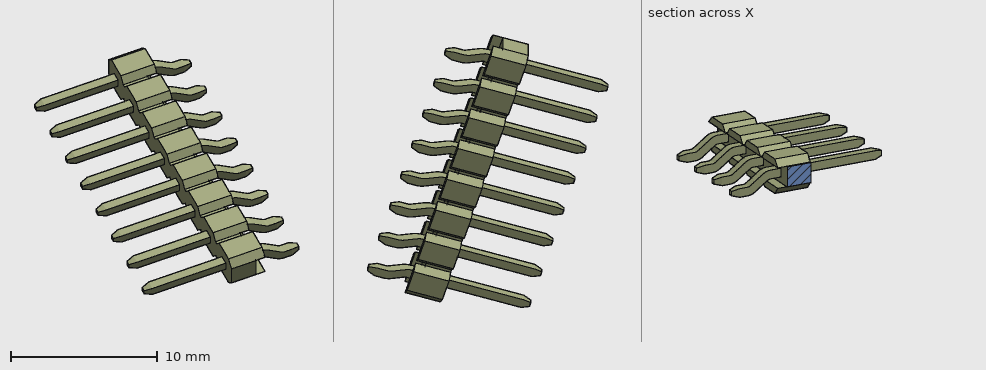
import cadquery as cq
import math

pin_count = 8
pitch = 2.55
row_length = pin_count * pitch

body_height = 2.5
body_depth = 2.5
body_front_y = 0.25
corner_cut = 0.5
notch_floor_width = 0.2
channel_depth = 0.7

pin_size = pitch / 4
pin_tip_size = 0.33
pin_length = 11.5
taper_length = 0.55
bend_start_y = 2.87
bend_angle = math.radians(35)
bend_inner_radius = 0.33

body_back_y = body_front_y + body_depth
half_height = body_height / 2
notch_z = half_height - corner_cut
pin_front_y = -pin_length / 2
pin_back_y = pin_length / 2
tail_z = pin_size / 2 - half_height


def make_body():
    """Octagonal cells joined by narrow webs, with a channel along the rear."""
    top_edge = [(-row_length / 2, notch_z)]
    for i in range(pin_count):
        left = i * pitch - row_length / 2
        right = left + pitch
        if i > 0:
            top_edge.append((left + notch_floor_width / 2, notch_z))
        top_edge.append((left + corner_cut, half_height))
        top_edge.append((right - corner_cut, half_height))
        if i < pin_count - 1:
            top_edge.append((right - notch_floor_width / 2, notch_z))
    top_edge.append((row_length / 2, notch_z))
    bottom_edge = [(x, -z) for x, z in reversed(top_edge)]

    body = (
        cq.Workplane("XZ", origin=(0, body_back_y, 0))
        .polyline(top_edge + bottom_edge)
        .close()
        .extrude(body_depth)
    )
    channel = (
        cq.Workplane("XY")
        .box(row_length, channel_depth, 2 * notch_z)
        .translate((0, body_back_y - channel_depth / 2, 0))
    )
    return body.cut(channel)


def make_tip(base_y, tip_y, z):
    """Square taper from the full pin section to the small end face."""
    return (
        cq.Workplane("XZ", origin=(0, base_y, z))
        .rect(pin_size, pin_size)
        .workplane(offset=base_y - tip_y)
        .rect(pin_tip_size, pin_tip_size)
        .loft(ruled=True)
    )


def make_pin():
    """Straight pin whose tail steps down through two equal bends."""
    mid_radius = bend_inner_radius + pin_size / 2
    bend_run = mid_radius * math.sin(bend_angle)
    bend_drop = mid_radius * (1 - math.cos(bend_angle))
    half_run = mid_radius * math.sin(bend_angle / 2)
    half_drop = mid_radius * (1 - math.cos(bend_angle / 2))
    slope_drop = -tail_z - 2 * bend_drop
    slope_run = slope_drop / math.tan(bend_angle)
    bend_end_y = bend_start_y + 2 * bend_run + slope_run
    straight_start_y = pin_front_y + taper_length
    tail_end_y = pin_back_y - taper_length

    path = (
        cq.Workplane("YZ")
        .moveTo(straight_start_y, 0)
        .lineTo(bend_start_y, 0)
        .threePointArc(
            (bend_start_y + half_run, -half_drop),
            (bend_start_y + bend_run, -bend_drop),
        )
        .lineTo(bend_end_y - bend_run, tail_z + bend_drop)
        .threePointArc(
            (bend_end_y - half_run, tail_z + half_drop),
            (bend_end_y, tail_z),
        )
        .lineTo(tail_end_y, tail_z)
    )
    shaft = (
        cq.Workplane("XZ", origin=(0, straight_start_y, 0))
        .rect(pin_size, pin_size)
        .sweep(path)
    )
    front_tip = make_tip(straight_start_y, pin_front_y, 0)
    tail_tip = make_tip(tail_end_y, pin_back_y, tail_z)
    return shaft.union(front_tip).union(tail_tip)


result = make_body()
pin = make_pin()
for i in range(pin_count):
    pin_x = (i + 0.5) * pitch - row_length / 2
    result = result.union(pin.translate((pin_x, 0, 0)))